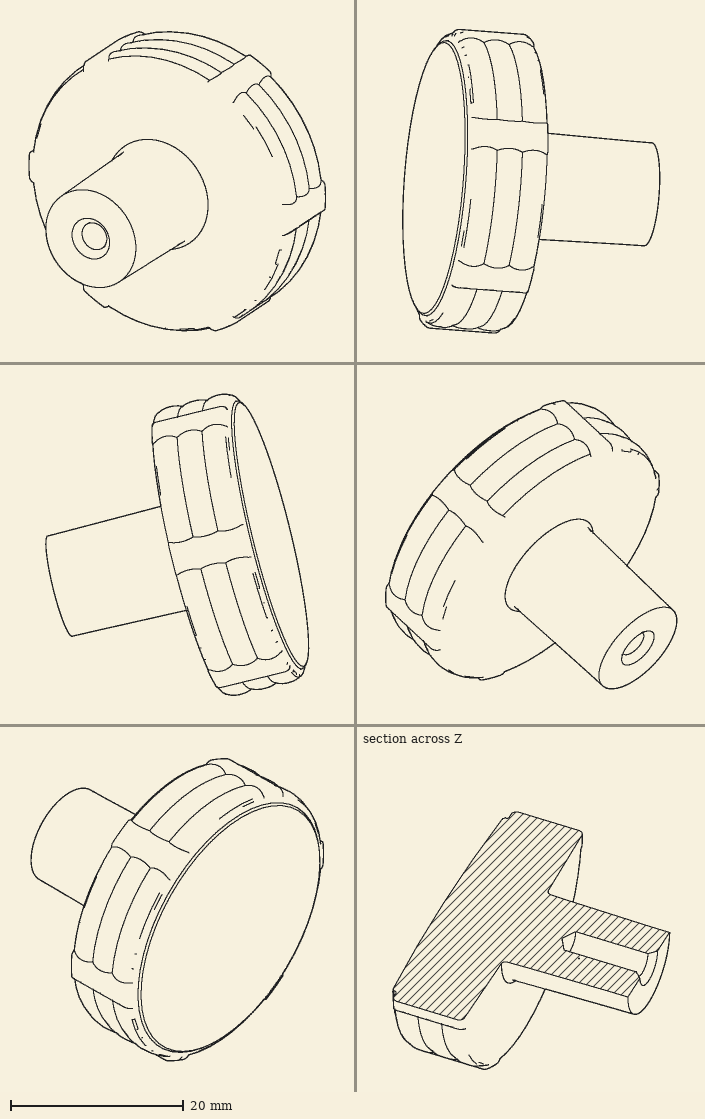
import cadquery as cq
import math


ridge_count = 3
ridge_width = 3.0
rim_width = ridge_count * ridge_width
valley_radius = 16.83
crest_radius = 17.2
edge_round = 0.25

crown_radius = 16.0
crown_rise = 1.1
crown_lip_top = 0.6
crown_lip_bevel = 0.25
crown_foot_round = 0.25

lug_count = 6
lug_radius = 17.5
lug_inner_radius = 15.0
lug_top_width = 2.92
lug_side_angle = 30.0
lug_end_round = 0.7
lug_edge_round = 0.12

stem_length = 15.9
stem_end_radius = 6.0
stem_draft = 1.0
hub_rise = 0.22
root_round = 0.5

hole_diameter = 3.3
hole_depth = 10.0
hole_mouth_diameter = 5.0
hole_mouth_depth = (hole_mouth_diameter - hole_diameter) / 2
drill_tip_angle = 118.0


def radial_plane():
    """Half-section plane holding profile points as (radius, y)."""
    return cq.Workplane("ZY")


def turn(profile):
    """Revolve a closed profile (radius, y) about the Y axis."""
    return profile.close().revolve(360, (0, 0, 0), (0, 1, 0))


def make_head():
    """Ridged rim with a slightly conical front and a crowned back."""
    lip_edge = crown_radius - crown_lip_bevel
    crown_start = rim_width + crown_lip_top
    edge_radius = valley_radius - edge_round
    profile = (
        radial_plane()
        .moveTo(0, -hub_rise)
        .lineTo(stem_end_radius, -hub_rise)
        .lineTo(edge_radius, 0)
    )
    diagonal = edge_round * math.sqrt(0.5)
    profile = profile.threePointArc(
        (edge_radius + diagonal, edge_round - diagonal), (valley_radius, edge_round)
    )
    for index in range(ridge_count):
        crest_y = (index + 0.5) * ridge_width
        end_y = (index + 1) * ridge_width
        if index == ridge_count - 1:
            end_y -= edge_round
        profile = profile.threePointArc((crest_radius, crest_y), (valley_radius, end_y))
    foot_center_radius = crown_radius + crown_foot_round
    foot_top = rim_width + crown_foot_round
    foot_diagonal = crown_foot_round * math.sqrt(0.5)
    profile = (
        profile.threePointArc(
            (edge_radius + diagonal, rim_width - edge_round + diagonal), (edge_radius, rim_width)
        )
        .lineTo(foot_center_radius, rim_width)
        .threePointArc(
            (foot_center_radius - foot_diagonal, foot_top - foot_diagonal), (crown_radius, foot_top)
        )
        .lineTo(crown_radius, crown_start - crown_lip_bevel)
        .lineTo(lip_edge, crown_start)
    )
    dome_height = crown_rise - crown_lip_top
    dome_radius = (lip_edge**2 + dome_height**2) / (2 * dome_height)
    dome_center_y = rim_width + crown_rise - dome_radius
    middle = lip_edge / 2
    dome_middle = (middle, dome_center_y + math.sqrt(dome_radius**2 - middle**2))
    profile = profile.threePointArc(dome_middle, (0, rim_width + crown_rise))
    return turn(profile)


def make_stem():
    """Drafted stem with a rounded root, reaching into the head."""
    slope = math.tan(math.radians(stem_draft))
    root_y = -hub_rise
    blend_radius = stem_end_radius + slope * (stem_length + root_y - root_round)
    foot_radius = blend_radius + root_round
    diagonal = root_round * math.sqrt(0.5)
    return turn(
        radial_plane()
        .moveTo(0, -stem_length)
        .lineTo(stem_end_radius, -stem_length)
        .lineTo(blend_radius, root_y - root_round)
        .threePointArc(
            (foot_radius - diagonal, root_y - root_round + diagonal), (foot_radius, root_y)
        )
        .lineTo(foot_radius, rim_width / 2)
        .lineTo(0, rim_width / 2)
    )


def make_lug():
    """One grip lug on the +X side: tapered sides, rounded ends and edges."""
    ring = turn(
        radial_plane()
        .moveTo(lug_inner_radius, 0)
        .lineTo(lug_radius, 0)
        .lineTo(lug_radius, rim_width)
        .lineTo(lug_inner_radius, rim_width)
    )
    ring = ring.edges(cq.selectors.RadiusNthSelector(-1)).fillet(lug_end_round)
    spread = (lug_radius - lug_inner_radius) * math.tan(math.radians(lug_side_angle))
    top = lug_top_width / 2
    wedge = (
        cq.Workplane("XZ")
        .polyline([
            (lug_inner_radius, -top - spread),
            (lug_radius, -top),
            (lug_radius, top),
            (lug_inner_radius, top + spread),
        ])
        .close()
        .extrude(-rim_width)
    )
    return ring.intersect(wedge).faces(">X").edges("|Y").fillet(lug_edge_round)


def make_hole():
    """Blind hole in the stem end with a countersunk mouth and a drill-point bottom."""
    tip_height = hole_diameter / 2 / math.tan(math.radians(drill_tip_angle / 2))
    return turn(
        radial_plane()
        .moveTo(0, -stem_length)
        .lineTo(hole_mouth_diameter / 2, -stem_length)
        .lineTo(hole_diameter / 2, hole_mouth_depth - stem_length)
        .lineTo(hole_diameter / 2, hole_depth - stem_length)
        .lineTo(0, hole_depth + tip_height - stem_length)
    )


result = make_head().union(make_stem())
lug = make_lug()
for index in range(lug_count):
    result = result.union(lug.rotate((0, 0, 0), (0, 1, 0), index * 360 / lug_count))
result = result.cut(make_hole())